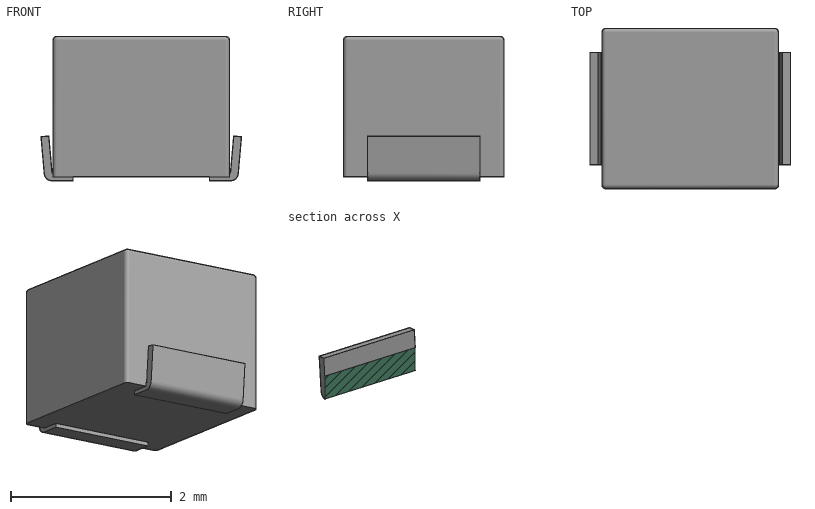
import math

import cadquery as cq

body_length = 2.2
body_width = 2.0
part_height = 1.8
standoff = 0.05
body_edge_radius = 0.05

overall_length = 2.5
terminal_width = 1.4
terminal_thickness = 0.1
terminal_height = 0.56
terminal_inner_end = 0.85
terminal_lean = math.radians(5)


def make_body():
    """Block with rounded vertical and top edges and a sharp bottom."""
    block = cq.Workplane("XY").workplane(offset=standoff).box(
        body_length, body_width, part_height - standoff, centered=(True, True, False)
    )
    return block.edges("|Z or >Z").fillet(body_edge_radius)


def make_terminal():
    """Strip at the -X end: flat foot, bend with a sharp inside corner, leaning arm."""
    along_x, along_z = -math.sin(terminal_lean), math.cos(terminal_lean)
    out_x, out_z = -math.cos(terminal_lean), -math.sin(terminal_lean)

    arm_length = (terminal_height - terminal_thickness) / along_z
    corner_x = -overall_length / 2 - arm_length * along_x - terminal_thickness * out_x
    corner_z = terminal_thickness

    def arm_point(distance_up, distance_out):
        return (
            corner_x + distance_up * along_x + distance_out * out_x,
            corner_z + distance_up * along_z + distance_out * out_z,
        )

    mid_bend_angle = (math.pi / 2 - terminal_lean) / 2
    bend_middle = (
        corner_x - terminal_thickness * math.sin(mid_bend_angle),
        corner_z - terminal_thickness * math.cos(mid_bend_angle),
    )
    return (
        cq.Workplane("XZ")
        .moveTo(-terminal_inner_end, 0)
        .lineTo(corner_x, 0)
        .threePointArc(bend_middle, arm_point(0, terminal_thickness))
        .lineTo(*arm_point(arm_length, terminal_thickness))
        .lineTo(*arm_point(arm_length, 0))
        .lineTo(corner_x, corner_z)
        .lineTo(-terminal_inner_end, corner_z)
        .close()
        .extrude(terminal_width / 2, both=True)
    )


left_terminal = make_terminal()
right_terminal = left_terminal.mirror("YZ")
result = make_body().union(left_terminal).union(right_terminal)